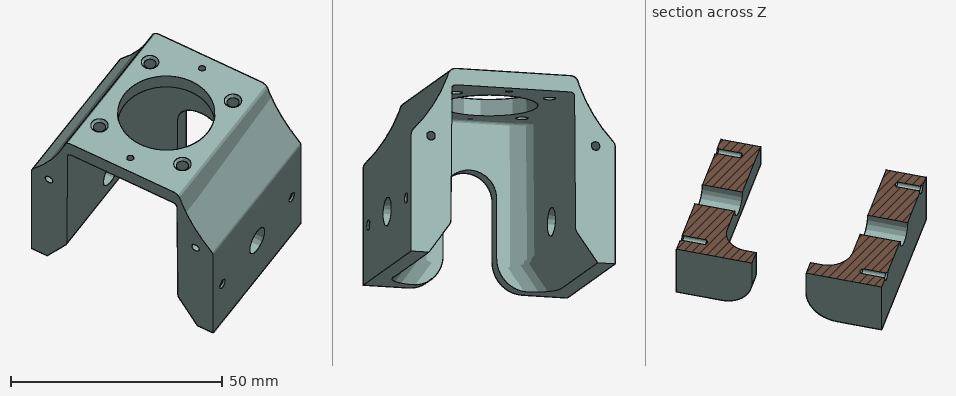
import math
import cadquery as cq

WIDTH = 50.4
DEPTH = 40.0
HEIGHT = 44.9
HALF_WIDTH = WIDTH / 2
HALF_DEPTH = DEPTH / 2

EDGE_RADIUS = 2.0
ROOF_FLAT_HALF = 14.1
SHOULDER_SLOPE = math.radians(70)
SHOULDER_TOP = (16.35, 42.6)
SHOULDER_MID = (19.75, 35.8)
SHOULDER_EDGE_Z = 29.05

WALL = 4.0
CAVITY_TOP_HALF = 15.15
BEND_HALF = 15.4
BEND_Z = 7.5
MOUTH_HALF = 20.8
CORNER_RADIUS = 6.0
BEND_RADIUS = 2.0
CEILING_RADIUS = 1.0

SLOT_HALF = 6.6
SLOT_TOP = 28.65
FLARE_RADIUS = 7.5

BORE_DIAMETER = 23.0
SCREW_DIAMETER = 2.85
SCREW_HEAD_DIAMETER = 4.15
SCREW_HEAD_DEPTH = (SCREW_HEAD_DIAMETER - SCREW_DIAMETER) / 2
SCREW_OFFSET = 11.5
PIN_DIAMETER = 1.6
PIN_OFFSET = 16.3

AXLE_DIAMETER = 6.75
AXLE_Z = 13.7
SIDE_DIAMETER = 1.5
SIDE_MOUTH_DIAMETER = 2.4
SIDE_OFFSET = 15.75
SIDE_DEPTH = 6.05
FRONT_DIAMETER = 2.05
FRONT_X = 20.3
FRONT_Z = 28.25
FRONT_DEPTH = 6.05
DRILL_POINT_ANGLE = math.radians(118)


def mirrored(point):
    return (-point[0], point[1])


def make_body():
    """Shouldered outline extruded along Y, with rounded shoulder ends."""
    roof_round_end = (
        ROOF_FLAT_HALF + EDGE_RADIUS * math.sin(SHOULDER_SLOPE),
        HEIGHT - EDGE_RADIUS * (1 - math.cos(SHOULDER_SLOPE)),
    )
    roof_round_mid = (
        ROOF_FLAT_HALF + EDGE_RADIUS * math.sin(SHOULDER_SLOPE / 2),
        HEIGHT - EDGE_RADIUS * (1 - math.cos(SHOULDER_SLOPE / 2)),
    )
    shoulder_edge = (HALF_WIDTH, SHOULDER_EDGE_Z)
    body = (
        cq.Workplane("XZ", origin=(0, HALF_DEPTH, 0))
        .moveTo(-HALF_WIDTH, 0)
        .lineTo(HALF_WIDTH, 0)
        .lineTo(*shoulder_edge)
        .threePointArc(SHOULDER_MID, SHOULDER_TOP)
        .lineTo(*roof_round_end)
        .threePointArc(roof_round_mid, (ROOF_FLAT_HALF, HEIGHT))
        .lineTo(-ROOF_FLAT_HALF, HEIGHT)
        .threePointArc(mirrored(roof_round_mid), mirrored(roof_round_end))
        .lineTo(*mirrored(SHOULDER_TOP))
        .threePointArc(mirrored(SHOULDER_MID), mirrored(shoulder_edge))
        .close()
        .extrude(DEPTH)
    )
    for side in (-1, 1):
        edge = cq.selectors.NearestToPointSelector((side * HALF_WIDTH, 0, SHOULDER_EDGE_Z))
        body = body.edges(edge).fillet(EDGE_RADIUS)
    return body


def make_cavity():
    """Slightly tapered cavity whose legs flare out below the bend."""
    ceiling_z = HEIGHT - WALL
    right_side = [(MOUTH_HALF, 0), (BEND_HALF, BEND_Z), (CAVITY_TOP_HALF, ceiling_z)]
    left_side = [mirrored(point) for point in reversed(right_side)]
    cavity = (
        cq.Workplane("XZ", origin=(0, HALF_DEPTH - WALL, 0))
        .polyline(right_side + left_side)
        .close()
        .extrude(DEPTH)
    )
    corners = cavity.faces(">Y").edges("not #Z").edges("not |X")
    cavity = corners.fillet(CORNER_RADIUS)
    cavity = cavity.faces(">Z").edges("not <Y").fillet(CEILING_RADIUS)
    for side in (-1, 1):
        bend = cq.selectors.NearestToPointSelector((side * BEND_HALF, -HALF_DEPTH / 2, BEND_Z))
        cavity = cavity.edges(bend).fillet(BEND_RADIUS)
    return cavity


def make_slot():
    """Round-topped slot with flared foot, cutting the back wall only."""
    arch_z = SLOT_TOP - SLOT_HALF
    foot = (SLOT_HALF + FLARE_RADIUS, 0)
    flare_top = (SLOT_HALF, FLARE_RADIUS)
    flare_inset = FLARE_RADIUS * (1 - math.sqrt(0.5))
    flare_mid = (SLOT_HALF + flare_inset, flare_inset)
    return (
        cq.Workplane("XZ", origin=(0, HALF_DEPTH, 0))
        .moveTo(*mirrored(foot))
        .lineTo(*foot)
        .threePointArc(flare_mid, flare_top)
        .lineTo(SLOT_HALF, arch_z)
        .threePointArc((0, SLOT_TOP), (-SLOT_HALF, arch_z))
        .lineTo(*mirrored(flare_top))
        .threePointArc(mirrored(flare_mid), mirrored(foot))
        .close()
        .extrude(HALF_DEPTH)
    )


def drill(start, direction, diameter, depth):
    """Blind hole with a conical drill point."""
    tip = diameter / 2 / math.tan(DRILL_POINT_ANGLE / 2)
    start = cq.Vector(*start)
    direction = cq.Vector(*direction)
    shank = cq.Solid.makeCylinder(diameter / 2, depth, start, direction)
    point = cq.Solid.makeCone(diameter / 2, 0, tip, start + direction * depth, direction)
    return cq.Workplane(shank.fuse(point))


def countersink(start, direction, mouth, diameter, depth):
    """Cone narrowing from the mouth to the hole diameter."""
    cone = cq.Solid.makeCone(mouth / 2, diameter / 2, depth, cq.Vector(*start), cq.Vector(*direction))
    return cq.Workplane(cone)


def cut_roof_holes(body):
    down = (0, 0, -1)
    roof = body.faces(">Z").workplane(origin=(0, 0, HEIGHT))
    body = roof.circle(BORE_DIAMETER / 2).cutBlind(-2 * WALL)
    for x in (-SCREW_OFFSET, SCREW_OFFSET):
        for y in (-SCREW_OFFSET, SCREW_OFFSET):
            start = (x, y, HEIGHT)
            body = body.cut(drill(start, down, SCREW_DIAMETER, 2 * WALL))
            body = body.cut(
                countersink(start, down, SCREW_HEAD_DIAMETER, SCREW_DIAMETER, SCREW_HEAD_DEPTH)
            )
    for y in (-PIN_OFFSET, PIN_OFFSET):
        pin_hole = cq.Solid.makeCylinder(
            PIN_DIAMETER / 2, WALL, cq.Vector(0, y, HEIGHT), cq.Vector(*down)
        )
        body = body.cut(cq.Workplane(pin_hole))
    return body


def cut_leg_holes(body):
    axle = cq.Workplane("YZ").center(0, AXLE_Z).circle(AXLE_DIAMETER / 2)
    body = body.cut(axle.extrude(HALF_WIDTH, both=True))
    mouth_depth = (SIDE_MOUTH_DIAMETER - SIDE_DIAMETER) / 2
    for side in (-1, 1):
        inward = (-side, 0, 0)
        for y in (-SIDE_OFFSET, SIDE_OFFSET):
            start = (side * HALF_WIDTH, y, AXLE_Z)
            body = body.cut(drill(start, inward, SIDE_DIAMETER, SIDE_DEPTH))
            body = body.cut(
                countersink(start, inward, SIDE_MOUTH_DIAMETER, SIDE_DIAMETER, mouth_depth)
            )
        front_start = (side * FRONT_X, -HALF_DEPTH, FRONT_Z)
        body = body.cut(drill(front_start, (0, 1, 0), FRONT_DIAMETER, FRONT_DEPTH))
    return body


bracket = make_body().cut(make_cavity()).cut(make_slot())
bracket = cut_roof_holes(bracket)
result = cut_leg_holes(bracket)